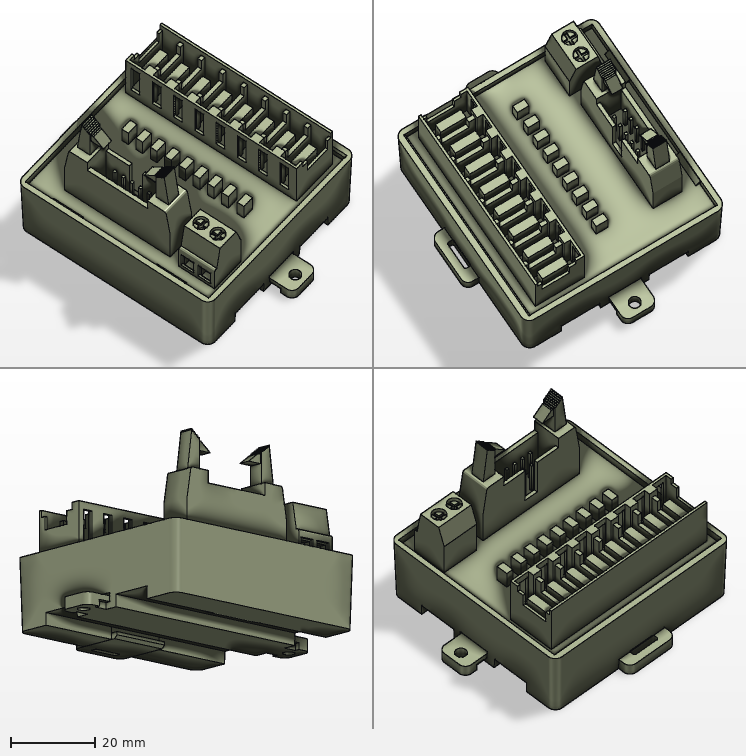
import cadquery as cq
import math

HOUSING_LENGTH = 58.0
HOUSING_WIDTH = 56.1
HOUSING_HEIGHT = 18.05
WALL_DRAFT = 1.4
CORNER_RADIUS = 2.3

RECESS_HALF_LENGTH = 27.6
RECESS_FRONT_Y = -26.55
RECESS_BACK_Y = 25.9
BACK_BEVEL_DEPTH = 0.5
BACK_BEVEL_HEIGHT = 0.6
LEDGE = 1.1

FOOT_NOTCH_HEIGHT = 3.1
BACK_NOTCH_Y = (7.15, 17.9)
FRONT_NOTCH_Y = (-17.7, -6.7)
MIDDLE_FOOT_TAPER = 0.3
FLOOR_THICKNESS = 1.6
FLOOR_Z = FOOT_NOTCH_HEIGHT + FLOOR_THICKNESS

HOOK_HEIGHT = 1.6
HOOK_TIP_Z = 0.8
FIXED_HOOK_REACH = 2.7

EAR_TIP_X = 35.8
EAR_WIDTH = 9.1
EAR_HEIGHT = 3.1
EAR_CORNER_RADIUS = 2.0
EAR_HOLE_DIAMETER = 3.0
EAR_HOLE_X = 32.8
EAR_GROOVE_START_X = 31.9
EAR_GROOVE_HEIGHT = 1.65
EAR_GROOVE_DEPTH = 1.3
EAR_LINTEL_HEIGHT = 0.8
EAR_ROOT_X = 25.8

SNAP_LENGTH = 9.0
SNAP_CENTER_X = 15.55
SNAP_REACH = 1.3
SNAP_HEIGHT = 1.2

CLIP_WIDTH = 15.2
CLIP_HEIGHT = 3.1
CLIP_BACK_Y = 31.4
CLIP_CORNER_RADIUS = 2.0
CLIP_TIP_Y = 16.0
CLIP_HOOK_BEVEL = 0.9
CLIP_SLOT_LENGTH = 7.9
CLIP_SLOT_WIDTH = 1.8
CLIP_SLOT_BACK_Y = 29.3
CLIP_SLOT_RADIUS = 0.4

BOARD_TOP_Z = 16.3
BOARD_THICKNESS = 1.6
BOARD_BOTTOM_Z = BOARD_TOP_Z - BOARD_THICKNESS
BOARD_CLEARANCE = 0.2
BOARD_HALF_LENGTH = RECESS_HALF_LENGTH - BOARD_CLEARANCE

CELL_COUNT = 8
FUSE_LENGTH = 51.4
FUSE_BACK_Y = 23.4
FUSE_FRONT_Y = 9.5
FUSE_TOP_Z = 29.35
FUSE_WALL = 0.7
PARTITION = 1.15
CELL_PITCH = (FUSE_LENGTH - 2 * FUSE_WALL + PARTITION) / CELL_COUNT
CELL_LENGTH = CELL_PITCH - PARTITION
CELL_FLOOR_Z = 17.5
SHOULDER_Z = 27.65
SADDLE_Z = 24.35
SADDLE_Y = (13.8, 21.5)
PIER_BACK_Y = 11.95
PIER_WIDTH = 2.6
FUSE_SOCKET_LENGTH = 2.35
FUSE_SOCKET_Y = (12.9, 20.05)
FUSE_SOCKET_OFFSET = 1.4
WINDOW_LENGTH = 2.6
WINDOW_BOTTOM_Z = 18.9
WINDOW_HEIGHT = 8.6
WINDOW_OFFSET = 0.9

LAMP_LENGTH = 2.0
LAMP_WIDTH = 3.3
LAMP_Y = -0.35
LAMP_TOP_Z = 20.9
LAMP_FIRST_X = -16.8
LAMP_PITCH = 4.3
LAMP_ROW_COUNT = 8
LAMP_SINGLE_X = 17.9

HEADER_X = -3.65
HEADER_Y = -17.7
HEADER_HALF_LENGTH = 15.9
HEADER_WIDTH = 8.15
HEADER_TOP_Z = 33.15
HEADER_SHOULDER_Z = 25.3
HEADER_LEAN = 1.3
HEADER_EDGE_RADIUS = 0.7
HEADER_GAP_HALF_LENGTH = 9.0
HEADER_WALL_TOP_Z = 30.1
HEADER_BACK_WALL = 1.0
HEADER_FRONT_WALL = 1.2
HEADER_FLOOR_Z = 18.6
KEY_WIDTH = 4.0
KEY_SILL_Z = 20.05
PIN_COLUMNS = 5
PIN_ROWS = 2
PIN_PITCH = 2.6
PIN_ROW_SPACING = 3.1
PIN_SIZE = 0.7
PIN_TOP_Z = 27.0

LATCH_WIDTH = 3.9
LATCH_OUTER_BASE = 13.75
LATCH_OUTER_TOP = 12.4
LATCH_INNER = 9.9
LATCH_TIP = 6.15
LATCH_TOP_Z = 43.25
LATCH_TIP_Z = 38.4
LATCH_HOOK_WIDTH = 3.1
GRIP_STEPS = 8
GRIP_LENGTH = 3.2

TERMINAL_X = 20.8
TERMINAL_LENGTH = 10.75
TERMINAL_BACK_Y = -12.45
TERMINAL_FRONT_Y = -22.6
TERMINAL_TOP_Z = 30.3
TERMINAL_TOP_Y = (-20.5, -14.3)
TERMINAL_BACK_SHOULDER_Z = 25.1
TERMINAL_LEDGE_Y = -21.7
TERMINAL_LEDGE_Z = 23.55
TERMINAL_LIP_RADIUS = 0.8
POLE_MIDDLE_X = 20.6
POLE_COUNT = 2
POLE_PITCH = 5.1
SCREW_Y = -17.4
SCREW_DIAMETER = 3.8
SCREW_RECESS = 1.1
SCREW_CROSS_WIDTH = 0.7
SCREW_CROSS_DEPTH = 0.7
WIRE_ENTRY_WIDTH = 3.7
WIRE_ENTRY_Z = (17.4, 21.55)
WIRE_ENTRY_LIP = 0.5
WIRE_ENTRY_LIP_DEPTH = 0.65
WIRE_TUNNEL_DROP = 0.2
WIRE_TUNNEL_DEPTH = 1.7


def block(x_range, y_range, z_range):
    """Box between the given limits."""
    size = [limits[1] - limits[0] for limits in (x_range, y_range, z_range)]
    corner = (x_range[0], y_range[0], z_range[0])
    return cq.Workplane("XY").box(*size, centered=False).translate(corner)


def across_x(points, x_middle, length):
    """Outline of (y, z) points extruded along X about x_middle."""
    outline = cq.Workplane("YZ", origin=(x_middle, 0, 0)).polyline(points).close()
    return outline.extrude(length / 2, both=True)


def across_y(points, y_middle, width):
    """Outline of (x, z) points extruded along Y about y_middle."""
    outline = cq.Workplane("XZ", origin=(0, y_middle, 0)).polyline(points).close()
    return outline.extrude(width / 2, both=True)


def spread(count, pitch):
    """Evenly spaced places centred on zero."""
    return [(i - (count - 1) / 2) * pitch for i in range(count)]


def make_rail_clip():
    back_notch_edge = BACK_NOTCH_Y[1]
    profile = [
        (CLIP_TIP_Y + CLIP_HOOK_BEVEL, 0),
        (CLIP_BACK_Y, 0),
        (CLIP_BACK_Y, CLIP_HEIGHT),
        (back_notch_edge, CLIP_HEIGHT),
        (back_notch_edge, HOOK_HEIGHT),
        (CLIP_TIP_Y, HOOK_HEIGHT),
        (CLIP_TIP_Y, HOOK_TIP_Z),
    ]
    clip = across_x(profile, 0, CLIP_WIDTH)
    clip = clip.edges("|Z and >Y").fillet(CLIP_CORNER_RADIUS)
    slot = (
        cq.Workplane("XY")
        .center(0, CLIP_SLOT_BACK_Y - CLIP_SLOT_WIDTH / 2)
        .rect(CLIP_SLOT_LENGTH, CLIP_SLOT_WIDTH)
        .extrude(CLIP_HEIGHT)
        .edges("|Z")
        .fillet(CLIP_SLOT_RADIUS)
    )
    return clip.cut(slot)


def make_shell():
    drafted_block = (
        cq.Workplane("XY", origin=(0, 0, HOUSING_HEIGHT))
        .rect(HOUSING_LENGTH, HOUSING_WIDTH)
        .extrude(-HOUSING_HEIGHT, taper=WALL_DRAFT)
    )
    return drafted_block.edges("not #Z").fillet(CORNER_RADIUS)


def make_board_recess():
    """Space for the board, and the opening above it with a bevelled back edge."""
    profile = [
        (RECESS_FRONT_Y, BOARD_BOTTOM_Z),
        (RECESS_BACK_Y, BOARD_BOTTOM_Z),
        (RECESS_BACK_Y, HOUSING_HEIGHT - BACK_BEVEL_HEIGHT),
        (RECESS_BACK_Y + BACK_BEVEL_DEPTH, HOUSING_HEIGHT),
        (RECESS_FRONT_Y, HOUSING_HEIGHT),
    ]
    return across_x(profile, 0, 2 * RECESS_HALF_LENGTH)


def make_cavity():
    """Hollow under the board."""
    half_length = RECESS_HALF_LENGTH - LEDGE
    return block(
        (-half_length, half_length),
        (RECESS_FRONT_Y + LEDGE, RECESS_BACK_Y - LEDGE),
        (FLOOR_Z, BOARD_BOTTOM_Z),
    )


def make_rail_notches():
    back_near, back_far = BACK_NOTCH_Y
    back_notch = across_x(
        [
            (back_near - MIDDLE_FOOT_TAPER, 0),
            (back_far, 0),
            (back_far, FOOT_NOTCH_HEIGHT),
            (back_near, FOOT_NOTCH_HEIGHT),
        ],
        0,
        HOUSING_LENGTH,
    )
    half_length = HOUSING_LENGTH / 2
    front_notch = block((-half_length, half_length), FRONT_NOTCH_Y, (0, FOOT_NOTCH_HEIGHT))
    return back_notch.union(front_notch)


def make_fixed_hook():
    root_y = FRONT_NOTCH_Y[0]
    tip_y = root_y + FIXED_HOOK_REACH
    profile = [(root_y, 0), (tip_y, HOOK_TIP_Z), (tip_y, HOOK_HEIGHT), (root_y, HOOK_HEIGHT)]
    return across_x(profile, 0, CLIP_WIDTH)


def make_ear(side):
    """Mounting ear with a screw hole and a groove along the bottom of both flanks."""
    half_width = EAR_WIDTH / 2
    ear = block((EAR_ROOT_X, EAR_TIP_X), (-half_width, half_width), (0, EAR_HEIGHT))
    ear = ear.edges("|Z and >X").fillet(EAR_CORNER_RADIUS)
    hole = cq.Workplane("XY").center(EAR_HOLE_X, 0).circle(EAR_HOLE_DIAMETER / 2).extrude(EAR_HEIGHT)
    ear = ear.cut(hole)
    groove = block(
        (EAR_ROOT_X, EAR_GROOVE_START_X),
        (half_width - EAR_GROOVE_DEPTH, half_width),
        (0, EAR_GROOVE_HEIGHT),
    )
    ear = ear.cut(groove).cut(groove.mirror("XZ"))
    return ear if side > 0 else ear.mirror("YZ")


def make_ear_lintel(side):
    """Bevel in the wall just above an ear."""
    outer_x = HOUSING_LENGTH / 2
    wall_inset = (HOUSING_HEIGHT - EAR_HEIGHT) * math.tan(math.radians(WALL_DRAFT))
    inner_x = outer_x - wall_inset - EAR_LINTEL_HEIGHT
    top_z = EAR_HEIGHT + EAR_LINTEL_HEIGHT
    profile = [
        (side * inner_x, EAR_HEIGHT),
        (side * outer_x, EAR_HEIGHT),
        (side * outer_x, top_z),
        (side * (outer_x - wall_inset), top_z),
    ]
    return across_y(profile, 0, EAR_WIDTH)


def make_snap(x_middle):
    """Wedge on the front wall that holds the board down."""
    profile = [
        (RECESS_FRONT_Y, BOARD_TOP_Z),
        (RECESS_FRONT_Y + SNAP_REACH, BOARD_TOP_Z),
        (RECESS_FRONT_Y, BOARD_TOP_Z + SNAP_HEIGHT),
    ]
    return across_x(profile, x_middle, SNAP_LENGTH)


def make_housing():
    housing = make_shell().cut(make_board_recess()).cut(make_cavity())
    housing = housing.cut(make_rail_notches()).union(make_fixed_hook())
    for side in (-1, 1):
        housing = housing.cut(make_ear_lintel(side))
        housing = housing.union(make_ear(side))
        housing = housing.union(make_snap(side * SNAP_CENTER_X))
    clip_channel = block(
        (-CLIP_WIDTH / 2, CLIP_WIDTH / 2), (BACK_NOTCH_Y[1], CLIP_BACK_Y), (0, CLIP_HEIGHT)
    )
    return housing.cut(clip_channel)


def make_fuse_block():
    inner_back = FUSE_BACK_Y - FUSE_WALL
    inner_front = FUSE_FRONT_Y + FUSE_WALL

    profile = [
        (FUSE_FRONT_Y, BOARD_TOP_Z),
        (FUSE_BACK_Y, BOARD_TOP_Z),
        (FUSE_BACK_Y, FUSE_TOP_Z),
        (inner_back, FUSE_TOP_Z),
        (inner_back, SHOULDER_Z),
        (SADDLE_Y[1], SHOULDER_Z),
        (SADDLE_Y[1], SADDLE_Z),
        (SADDLE_Y[0], SADDLE_Z),
        (SADDLE_Y[0], SHOULDER_Z),
        (PIER_BACK_Y, SHOULDER_Z),
        (PIER_BACK_Y, FUSE_TOP_Z),
        (FUSE_FRONT_Y, FUSE_TOP_Z),
    ]
    fuse_block = across_x(profile, 0, FUSE_LENGTH)

    for cell_x in spread(CELL_COUNT, CELL_PITCH):
        left = cell_x - CELL_LENGTH / 2
        cell = block((left, left + CELL_LENGTH), (inner_front, inner_back), (CELL_FLOOR_Z, FUSE_TOP_Z))
        fuse_block = fuse_block.cut(cell)

        window_left = left + WINDOW_OFFSET
        window = block(
            (window_left, window_left + WINDOW_LENGTH),
            (FUSE_FRONT_Y, inner_front),
            (WINDOW_BOTTOM_Z, WINDOW_BOTTOM_Z + WINDOW_HEIGHT),
        )
        fuse_block = fuse_block.cut(window)

        socket_left = left + FUSE_SOCKET_OFFSET
        socket = block(
            (socket_left, socket_left + FUSE_SOCKET_LENGTH), FUSE_SOCKET_Y, (CELL_FLOOR_Z, SADDLE_Z)
        )
        fuse_block = fuse_block.union(socket)

    for pier_x in spread(CELL_COUNT - 1, CELL_PITCH):
        pier = block(
            (pier_x - PIER_WIDTH / 2, pier_x + PIER_WIDTH / 2),
            (FUSE_FRONT_Y, PIER_BACK_Y),
            (BOARD_TOP_Z, FUSE_TOP_Z),
        )
        fuse_block = fuse_block.union(pier)
    return fuse_block


def make_lamp(x_middle):
    return block(
        (x_middle - LAMP_LENGTH / 2, x_middle + LAMP_LENGTH / 2),
        (LAMP_Y - LAMP_WIDTH / 2, LAMP_Y + LAMP_WIDTH / 2),
        (BOARD_TOP_Z, LAMP_TOP_Z),
    )


def make_latch(side):
    """Latch arm: leaning outer face, stepped grip on the slope, narrower hook."""
    slope = (LATCH_TOP_Z - LATCH_TIP_Z) / (LATCH_OUTER_TOP - LATCH_TIP)
    tread = GRIP_LENGTH / GRIP_STEPS
    profile = [
        (LATCH_TIP, LATCH_TIP_Z),
        (LATCH_INNER, LATCH_TIP_Z),
        (LATCH_INNER, HEADER_TOP_Z),
        (LATCH_OUTER_BASE, HEADER_TOP_Z),
    ]
    for step in range(GRIP_STEPS):
        x_step = LATCH_OUTER_TOP - step * tread
        z_step = LATCH_TOP_Z - step * tread * slope
        profile.append((x_step, z_step))
        profile.append((x_step, z_step - tread * slope))
    profile.append((LATCH_OUTER_TOP - GRIP_LENGTH, LATCH_TOP_Z - GRIP_LENGTH * slope))

    placed_profile = [(HEADER_X + side * x, z) for x, z in profile]
    latch = across_y(placed_profile, HEADER_Y, LATCH_WIDTH)
    hook_x = sorted((HEADER_X + side * LATCH_TIP, HEADER_X + side * LATCH_INNER))
    hook_half_width = LATCH_HOOK_WIDTH / 2
    arm_half_width = LATCH_WIDTH / 2
    for hook_flank in (
        (HEADER_Y - arm_half_width, HEADER_Y - hook_half_width),
        (HEADER_Y + hook_half_width, HEADER_Y + arm_half_width),
    ):
        latch = latch.cut(block(hook_x, hook_flank, (LATCH_TIP_Z, LATCH_TOP_Z)))
    return latch


def make_header():
    top_half_length = HEADER_HALF_LENGTH - HEADER_LEAN
    right_half = [
        (HEADER_HALF_LENGTH, BOARD_TOP_Z),
        (HEADER_HALF_LENGTH, HEADER_SHOULDER_Z),
        (top_half_length, HEADER_TOP_Z),
    ]
    left_half = [(-x, z) for x, z in reversed(right_half)]
    outline = [(HEADER_X + x, z) for x, z in right_half + left_half]
    header = across_y(outline, HEADER_Y, HEADER_WIDTH)
    header = header.faces(">Z").edges("|Y").fillet(HEADER_EDGE_RADIUS)

    gap_x = (HEADER_X - HEADER_GAP_HALF_LENGTH, HEADER_X + HEADER_GAP_HALF_LENGTH)
    front_y = HEADER_Y - HEADER_WIDTH / 2
    back_y = HEADER_Y + HEADER_WIDTH / 2
    inner_back_y = back_y - HEADER_BACK_WALL
    gap = block(gap_x, (front_y, back_y), (HEADER_WALL_TOP_Z, HEADER_TOP_Z))
    socket = block(gap_x, (front_y + HEADER_FRONT_WALL, inner_back_y), (HEADER_FLOOR_Z, HEADER_TOP_Z))
    key_slot = block(
        (HEADER_X - KEY_WIDTH / 2, HEADER_X + KEY_WIDTH / 2),
        (inner_back_y, back_y),
        (KEY_SILL_Z, HEADER_TOP_Z),
    )
    header = header.cut(gap).cut(socket).cut(key_slot)

    for column_x in spread(PIN_COLUMNS, PIN_PITCH):
        for row_y in spread(PIN_ROWS, PIN_ROW_SPACING):
            pin = (
                cq.Workplane("XY", origin=(HEADER_X + column_x, HEADER_Y + row_y, HEADER_FLOOR_Z))
                .rect(PIN_SIZE, PIN_SIZE)
                .extrude(PIN_TOP_Z - HEADER_FLOOR_Z)
            )
            header = header.union(pin)

    for side in (-1, 1):
        header = header.union(make_latch(side))
    return header


def make_terminal():
    top_front_y, top_back_y = TERMINAL_TOP_Y
    lip_center_y = TERMINAL_FRONT_Y + TERMINAL_LIP_RADIUS
    lip_center_z = TERMINAL_LEDGE_Z - TERMINAL_LIP_RADIUS
    arc_offset = TERMINAL_LIP_RADIUS * math.sqrt(0.5)
    terminal = (
        cq.Workplane("YZ", origin=(TERMINAL_X, 0, 0))
        .moveTo(TERMINAL_FRONT_Y, BOARD_TOP_Z)
        .lineTo(TERMINAL_BACK_Y, BOARD_TOP_Z)
        .lineTo(TERMINAL_BACK_Y, TERMINAL_BACK_SHOULDER_Z)
        .lineTo(top_back_y, TERMINAL_TOP_Z)
        .lineTo(top_front_y, TERMINAL_TOP_Z)
        .lineTo(TERMINAL_LEDGE_Y, TERMINAL_LEDGE_Z)
        .lineTo(lip_center_y, TERMINAL_LEDGE_Z)
        .threePointArc(
            (lip_center_y - arc_offset, lip_center_z + arc_offset),
            (TERMINAL_FRONT_Y, lip_center_z),
        )
        .close()
        .extrude(TERMINAL_LENGTH / 2, both=True)
    )
    for pole_offset in spread(POLE_COUNT, POLE_PITCH):
        pole_x = POLE_MIDDLE_X + pole_offset
        terminal = terminal.cut(make_screw_recess(pole_x)).cut(make_wire_entry(pole_x))
    return terminal


def make_screw_recess(pole_x):
    """Round recess with a cross slot in its floor."""
    floor_z = TERMINAL_TOP_Z - SCREW_RECESS
    floor = cq.Workplane("XY", origin=(pole_x, SCREW_Y, floor_z))
    recess = floor.circle(SCREW_DIAMETER / 2).extrude(SCREW_RECESS)
    slot = floor.rect(SCREW_DIAMETER, SCREW_CROSS_WIDTH).extrude(-SCREW_CROSS_DEPTH)
    cross_slot = floor.rect(SCREW_CROSS_WIDTH, SCREW_DIAMETER).extrude(-SCREW_CROSS_DEPTH)
    shank = floor.circle(SCREW_DIAMETER / 2).extrude(-SCREW_CROSS_DEPTH)
    return recess.union(slot.union(cross_slot).intersect(shank))


def make_wire_entry(pole_x):
    """Rectangular opening in the front face, stepped to a narrower inside."""
    bottom_z, top_z = WIRE_ENTRY_Z
    half_width = WIRE_ENTRY_WIDTH / 2
    lip_y = TERMINAL_FRONT_Y + WIRE_ENTRY_LIP_DEPTH
    mouth = block((pole_x - half_width, pole_x + half_width), (TERMINAL_FRONT_Y, lip_y), WIRE_ENTRY_Z)
    inner_half_width = half_width - WIRE_ENTRY_LIP
    tunnel = block(
        (pole_x - inner_half_width, pole_x + inner_half_width),
        (lip_y, lip_y + WIRE_TUNNEL_DEPTH),
        (bottom_z - WIRE_TUNNEL_DROP, top_z - WIRE_ENTRY_LIP),
    )
    return mouth.union(tunnel)


def make_board():
    board = block(
        (-BOARD_HALF_LENGTH, BOARD_HALF_LENGTH),
        (RECESS_FRONT_Y + BOARD_CLEARANCE, RECESS_BACK_Y - BOARD_CLEARANCE),
        (BOARD_BOTTOM_Z, BOARD_TOP_Z),
    )
    board = board.union(make_fuse_block()).union(make_header()).union(make_terminal())
    lamp_places = [LAMP_FIRST_X + i * LAMP_PITCH for i in range(LAMP_ROW_COUNT)]
    for lamp_x in lamp_places + [LAMP_SINGLE_X]:
        board = board.union(make_lamp(lamp_x))
    return board


rail_clip = make_rail_clip()
housing = make_housing()
board = make_board()

result = cq.Compound.makeCompound(
    [housing.solids().val(), rail_clip.solids().val(), board.solids().val()]
)